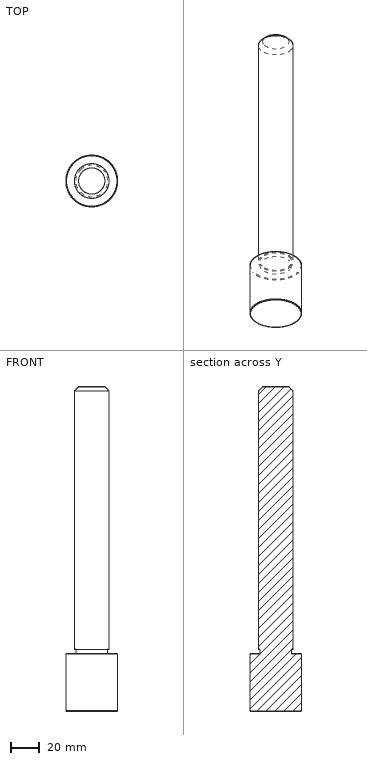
import cadquery as cq

total_length = 225.0

head_diameter = 36.0
head_height = 40.0
head_chamfer = 0.5

shank_diameter = 24.0
tip_chamfer = 3.0

neck_diameter = 22.0
neck_height = 3.0

head = (
    cq.Workplane("XY")
    .circle(head_diameter / 2)
    .extrude(head_height)
    .edges("%CIRCLE")
    .chamfer(head_chamfer)
)

neck = (
    cq.Workplane("XY")
    .workplane(offset=head_height)
    .circle(neck_diameter / 2)
    .extrude(neck_height)
)

shank_start = head_height + neck_height
shank = (
    cq.Workplane("XY")
    .workplane(offset=shank_start)
    .circle(shank_diameter / 2)
    .extrude(total_length - shank_start)
    .faces(">Z")
    .chamfer(tip_chamfer)
)

result = head.union(neck).union(shank)